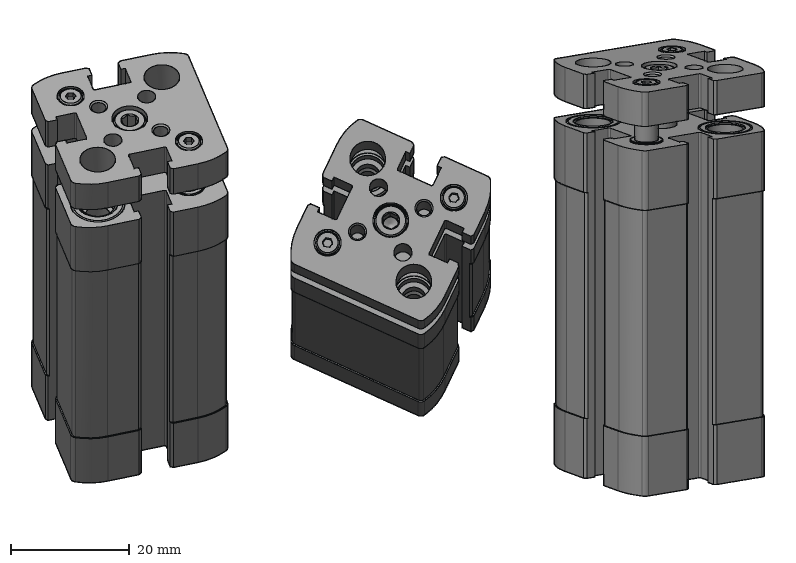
import cadquery as cq
import math

HEIGHT = 70.2
WIDTH = 27.5
HALF_WIDTH = WIDTH / 2

FLANK_RADIUS = 11.0
FLANK_START = 7.9
CORNER_RADIUS = 1.05

SLOT_OFFSET = 0.6
SLOT_DEPTH = 5.5
SLOT_WIDTH = 6.6
SLOT_FLOOR_RADIUS = 0.3
MOUTH_WIDTH = 5.05
MOUTH_DEPTH = 2.0
MOUTH_CHAMFER = 0.5
MOUTH_CHAMFER_DEPTH = 0.35

PLATE_THICKNESS = 6.0
PLATE_GAP = 4.2
CAP_HEIGHT = 10.4
BARREL_INSET = 0.245
PLATE_BOTTOM = HEIGHT - PLATE_THICKNESS
HOUSING_TOP = PLATE_BOTTOM - PLATE_GAP
BARREL_HEIGHT = HOUSING_TOP - 2 * CAP_HEIGHT

ROD_DIAMETER = 6.0
ROD_RECESS = 0.4
ROD_INSERTION = 10.05
NECK_DIAMETER = 5.5
NECK_LENGTH = 0.7
NECK_CHAMFER = 0.245
ROD_SOCKET_FLATS = 2.5
ROD_SOCKET_MOUTH = 3.0
ROD_SOCKET_DEPTH = 2.8
SOCKET_CONE_ANGLE = 118
ROD_FLATS = 4.9
ROD_FLATS_HEIGHT = 2.8
ROD_FLATS_SLOPE = 0.245

CORNER_PITCH = 8.0
PIN_DIAMETER = 4.0
PIN_TIP_DIAMETER = 3.5
PIN_RING_DIAMETER = 4.55
PIN_RING_DEPTH = 0.4
PIN_SOCKET_CORNERS = 1.75
PIN_SOCKET_DEPTH = 1.0
PIN_SOCKET_TURN = 15
PIN_INSERTION = 10.05
BUSH_DIAMETER = 5.6
BUSH_HEIGHT = 0.245
BUSH_CHAMFER = 0.15

TOOL_PITCH = 4.2
TOOL_HOLE_DIAMETER = 3.0
TAPPED_HOLE_DIAMETER = 2.45
ACCESS_DIAMETER = 6.0

BOLT_HOLE_DIAMETER = 3.2
THREAD_DIAMETER = 4.15
THREAD_DEPTH = 5.6
BORE_DEPTH = 2.8
RECESS_DIAMETER = 6.75
RECESS_DEPTH = 0.245
RIM_TIP_DIAMETER = 8.5
RIM_DIAMETER = 9.2

PIN_POINTS = [(-CORNER_PITCH, -CORNER_PITCH), (CORNER_PITCH, CORNER_PITCH)]
BOLT_POINTS = [(-CORNER_PITCH, CORNER_PITCH), (CORNER_PITCH, -CORNER_PITCH)]
TAPPED_POINTS = [(-TOOL_PITCH, -TOOL_PITCH), (TOOL_PITCH, TOOL_PITCH)]
DOWEL_POINTS = [(-TOOL_PITCH, TOOL_PITCH), (TOOL_PITCH, -TOOL_PITCH)]


def cylinder(points, bottom, height, diameter):
    return cq.Workplane().workplane(offset=bottom).pushPoints(points).circle(diameter / 2).extrude(height)


def cone(point, bottom, height, bottom_diameter, top_diameter):
    solid = cq.Solid.makeCone(bottom_diameter / 2, top_diameter / 2, height, cq.Vector(*point, bottom))
    return cq.Workplane(solid)


def countersink(body, points, top, small, large):
    """Widen round holes to a 45 degree mouth at the given height."""
    depth = (large - small) / 2
    for point in points:
        body = body.cut(cone(point, top - depth, depth, small, large))
    return body


def ring_groove(body, points, top, profile):
    """Cut a groove around each point; the profile lists (diameter, depth below the top) corners."""
    corners = [(diameter / 2, top - depth) for diameter, depth in profile]
    cutter = cq.Workplane("XZ").polyline(corners).close().revolve(360, (0, 0), (0, 1))
    for x, y in points:
        body = body.cut(cutter.translate((x, y, 0)))
    return body


def outline(bottom, height, inset=0.0):
    """Four-sided body with curved corner flanks; inset shrinks the whole outline evenly."""
    half = HALF_WIDTH - inset
    radius = FLANK_RADIUS - inset
    centre_x = HALF_WIDTH - FLANK_RADIUS

    def flank_x(y):
        return centre_x + math.sqrt(radius ** 2 - (y - FLANK_START) ** 2)

    middle_y = (FLANK_START + half) / 2
    corner_x = flank_x(half)
    middle_x = flank_x(middle_y)
    body = (
        cq.Workplane().workplane(offset=bottom)
        .moveTo(corner_x, half)
        .threePointArc((middle_x, middle_y), (half, FLANK_START))
        .lineTo(half, -FLANK_START)
        .threePointArc((middle_x, -middle_y), (corner_x, -half))
        .lineTo(-corner_x, -half)
        .threePointArc((-middle_x, -middle_y), (-half, -FLANK_START))
        .lineTo(-half, FLANK_START)
        .threePointArc((-middle_x, middle_y), (-corner_x, half))
        .close().extrude(height)
    )
    return body.edges("|Z").edges("<Y or >Y").fillet(CORNER_RADIUS - inset)


def slot(bottom, height, half):
    """Cutter for a T-slot opening on the -Y side, with chamfered mouth edges and a rounded floor."""
    floor_y = SLOT_DEPTH - HALF_WIDTH
    step_y = MOUTH_DEPTH - HALF_WIDTH
    mouth = MOUTH_WIDTH / 2
    flare = mouth + MOUTH_CHAMFER
    return (
        cq.Workplane().workplane(offset=bottom)
        .moveTo(-SLOT_WIDTH / 2, floor_y)
        .lineTo(SLOT_WIDTH / 2, floor_y)
        .lineTo(SLOT_WIDTH / 2, step_y)
        .lineTo(mouth, step_y)
        .lineTo(mouth, -half + MOUTH_CHAMFER_DEPTH)
        .lineTo(flare, -half)
        .lineTo(-flare, -half)
        .lineTo(-mouth, -half + MOUTH_CHAMFER_DEPTH)
        .lineTo(-mouth, step_y)
        .lineTo(-SLOT_WIDTH / 2, step_y)
        .close().extrude(height)
        .edges("|Z").edges(">Y").fillet(SLOT_FLOOR_RADIUS)
    )


def slotted_block(bottom, height, inset=0.0):
    """Outline with T-slots on the -Y, -X and +X sides."""
    block = outline(bottom, height, inset)
    for angle, shift in ((0, -SLOT_OFFSET), (-90, SLOT_OFFSET), (90, SLOT_OFFSET)):
        cutter = slot(bottom, height, HALF_WIDTH - inset).translate((shift, 0, 0))
        block = block.cut(cutter.rotate((0, 0, 0), (0, 0, 1), angle))
    return block


def make_rod():
    """Piston rod with a reduced end and two wrench flats below the plate."""
    bottom = HOUSING_TOP - ROD_INSERTION
    top = HEIGHT - ROD_RECESS
    rod = cylinder([(0, 0)], bottom, top - bottom - NECK_LENGTH, ROD_DIAMETER)
    neck = cylinder([(0, 0)], top - NECK_LENGTH, NECK_LENGTH, NECK_DIAMETER)
    rod = rod.union(neck.faces(">Z").chamfer(NECK_CHAMFER))
    inner_y = ROD_FLATS / 2
    outer_y = ROD_DIAMETER / 2
    flat_bottom = PLATE_BOTTOM - ROD_FLATS_HEIGHT
    waste = (
        cq.Workplane("YZ")
        .moveTo(inner_y, PLATE_BOTTOM)
        .lineTo(inner_y, flat_bottom)
        .lineTo(outer_y, flat_bottom - ROD_FLATS_SLOPE)
        .lineTo(outer_y, PLATE_BOTTOM)
        .close().extrude(ROD_DIAMETER / 2, both=True)
    )
    return rod.cut(waste).cut(waste.mirror("XZ"))


def rod_socket():
    """Hexagonal socket with a round countersunk mouth and a conical bottom."""
    top = HEIGHT - ROD_RECESS
    corners = ROD_SOCKET_FLATS / math.cos(math.radians(30))
    floor = top - ROD_SOCKET_DEPTH
    hexagon = cq.Workplane().workplane(offset=floor).polygon(6, corners).extrude(ROD_SOCKET_DEPTH)
    cone_depth = ROD_SOCKET_FLATS / 2 / math.tan(math.radians(SOCKET_CONE_ANGLE / 2))
    point = cone((0, 0), floor - cone_depth, cone_depth, 0, ROD_SOCKET_FLATS)
    mouth_depth = (ROD_SOCKET_MOUTH - ROD_SOCKET_FLATS) / 2
    mouth = cone((0, 0), top - mouth_depth, mouth_depth, ROD_SOCKET_FLATS, ROD_SOCKET_MOUTH)
    return hexagon.union(point).union(mouth)


def make_carriage():
    """Front plate with the piston rod and both guide pins."""
    plate = slotted_block(PLATE_BOTTOM, PLATE_THICKNESS)
    plate = plate.cut(cylinder([(0, 0)], PLATE_BOTTOM, PLATE_THICKNESS, ROD_DIAMETER))
    plate = plate.cut(cylinder(BOLT_POINTS, PLATE_BOTTOM, PLATE_THICKNESS, ACCESS_DIAMETER))
    plate = plate.cut(cylinder(DOWEL_POINTS, PLATE_BOTTOM, PLATE_THICKNESS, TOOL_HOLE_DIAMETER))
    plate = plate.cut(cylinder(TAPPED_POINTS, PLATE_BOTTOM, PLATE_THICKNESS, TAPPED_HOLE_DIAMETER))
    plate = countersink(plate, TAPPED_POINTS, HEIGHT, TAPPED_HOLE_DIAMETER, TOOL_HOLE_DIAMETER)

    pin_bottom = HOUSING_TOP - PIN_INSERTION
    carriage = plate.union(make_rod()).cut(rod_socket())
    carriage = carriage.union(cylinder(PIN_POINTS, pin_bottom, PLATE_BOTTOM - pin_bottom, PIN_DIAMETER))

    pin_groove = [
        (PIN_TIP_DIAMETER, 0),
        (PIN_DIAMETER, (PIN_DIAMETER - PIN_TIP_DIAMETER) / 2),
        (PIN_DIAMETER, PIN_RING_DEPTH),
        (PIN_RING_DIAMETER, PIN_RING_DEPTH),
        (PIN_RING_DIAMETER, 0),
    ]
    carriage = ring_groove(carriage, PIN_POINTS, HEIGHT, pin_groove)

    socket = cq.Workplane().polygon(6, PIN_SOCKET_CORNERS).extrude(PIN_SOCKET_DEPTH)
    socket = socket.rotate((0, 0, 0), (0, 0, 1), PIN_SOCKET_TURN)
    for x, y in PIN_POINTS:
        carriage = carriage.cut(socket.translate((x, y, HEIGHT - PIN_SOCKET_DEPTH)))
    return carriage


def make_housing():
    """Slotted barrel between two slightly larger end caps."""
    housing = slotted_block(0, CAP_HEIGHT)
    housing = housing.union(slotted_block(CAP_HEIGHT, BARREL_HEIGHT, BARREL_INSET))
    housing = housing.union(slotted_block(HOUSING_TOP - CAP_HEIGHT, CAP_HEIGHT))

    bushes = cylinder(PIN_POINTS, HOUSING_TOP, BUSH_HEIGHT, BUSH_DIAMETER).faces(">Z").chamfer(BUSH_CHAMFER)
    housing = housing.union(bushes)
    housing = housing.cut(cylinder([(0, 0)], HOUSING_TOP - ROD_INSERTION, ROD_INSERTION, ROD_DIAMETER))
    pin_hole = PIN_INSERTION + BUSH_HEIGHT
    housing = housing.cut(cylinder(PIN_POINTS, HOUSING_TOP - PIN_INSERTION, pin_hole, PIN_DIAMETER))

    housing = housing.cut(cylinder(BOLT_POINTS, 0, HOUSING_TOP, BOLT_HOLE_DIAMETER))
    thread_bottom = HOUSING_TOP - THREAD_DEPTH
    housing = housing.cut(cylinder(BOLT_POINTS, thread_bottom, THREAD_DEPTH, THREAD_DIAMETER))
    housing = countersink(housing, BOLT_POINTS, thread_bottom, BOLT_HOLE_DIAMETER, THREAD_DIAMETER)
    housing = housing.cut(cylinder(BOLT_POINTS, HOUSING_TOP - BORE_DEPTH, BORE_DEPTH, ACCESS_DIAMETER))
    housing = housing.cut(cylinder(BOLT_POINTS, HOUSING_TOP - RECESS_DEPTH, RECESS_DEPTH, RECESS_DIAMETER))

    rim_groove = [
        (RIM_DIAMETER, 0),
        (RIM_DIAMETER, (RIM_DIAMETER - RIM_TIP_DIAMETER) / 2),
        (RIM_TIP_DIAMETER, 0),
    ]
    return ring_groove(housing, BOLT_POINTS, HOUSING_TOP, rim_groove)


carriage = make_carriage()
housing = make_housing()
result = cq.Compound.makeCompound([carriage.val(), housing.val()])